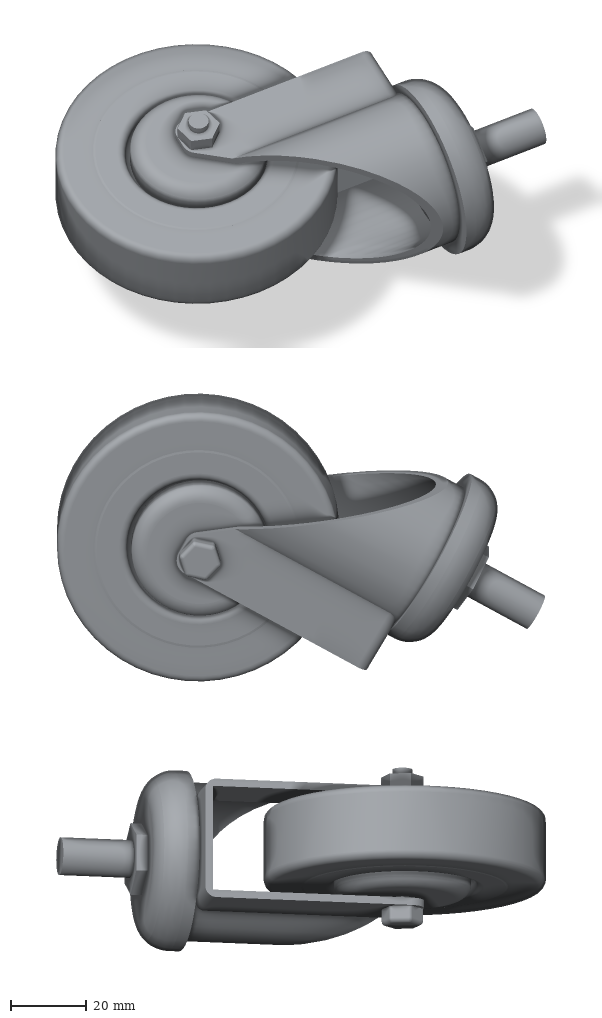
import cadquery as cq
import math


wheel_radius = 37.4
tyre_width = 20.0
edge_round = 2.0
core_radius = 27.5
core_bevel_width = 0.6
core_bevel_height = 0.1
bore_radius = 19.0

hub_radius = 18.2
hub_shoulder_radius = 18.0
hub_shoulder_height = 10.8
hub_crown_radius = 14.1
hub_top_height = 13.1

axle_y = 0.6
bolt_radius = 2.6
bolt_top = 21.9
hex_corner_radius = 5.7
hex_turn = 13.0
nut_height = 3.8
head_height = 4.4
head_end_round = 1.1
head_corner_round = 0.9

swivel_x = 25.0
plate_thickness = 2.0
fork_half_height = 16.1
fork_top_y = 55.0
fork_left_x = -6.0
fork_tip_reach = 5.4
web_end_x = 14.0
skirt_radius = 21.1
slope_top_y = 50.1
slope_angle = 52.4
fork_top_round = 3.0
fork_tip_round = 4.0

cap_x = 26.1
cap_z = 0.4
cap_radius = 24.0
cap_height = 11.0
cap_shoulder_radius = 21.5
cap_shoulder_height = 9.0
cap_crown_radius = 16.6
flange_across_flats = 16.8
flange_height = 3.0
stud_radius = 5.0
stud_top_y = 88.2

tyre_half = tyre_width / 2
core_half = tyre_half + core_bevel_height
recess_floor = core_half - 2 * edge_round
skirt_inner_radius = skirt_radius - plate_thickness
fork_inner_half = fork_half_height - plate_thickness
skirt_right_x = swivel_x + skirt_radius
web_bottom_y = fork_top_y - plate_thickness
fork_bottom_y = axle_y - fork_tip_reach
cap_top_y = fork_top_y + cap_height
flange_top_y = cap_top_y + flange_height


def disc_z(x, y, radius, z_low, z_high):
    """Cylinder along Z between two heights."""
    return cq.Workplane("XY", origin=(x, y, z_low)).circle(radius).extrude(z_high - z_low)


def rod_y(x, z, radius, y_low, y_high):
    """Cylinder along Y between two places."""
    return cq.Workplane("XZ", origin=(x, y_low, z)).circle(radius).extrude(y_low - y_high)


def box_between(x_low, x_high, y_low, y_high, z_half):
    """Box given by its X and Y limits and centred on Z = 0."""
    return (
        cq.Workplane("XY", origin=(0, 0, -z_half))
        .moveTo(x_low, y_low)
        .lineTo(x_high, y_low)
        .lineTo(x_high, y_high)
        .lineTo(x_low, y_high)
        .close()
        .extrude(2 * z_half)
    )


def hex_z(corner_radius, turn, z_low, height):
    """Hexagonal prism on the axle, its corners turned about Z."""
    return (
        cq.Workplane("XY", origin=(0, axle_y, z_low))
        .transformed(rotate=(0, 0, turn))
        .polygon(6, 2 * corner_radius)
        .extrude(height)
    )


def domed_disc(hole_radius, outer_radius, base, shoulder, crown):
    """Disc around Z whose upper rim is rounded by two tangent arcs.

    The upper arc runs from the flat crown (radius, height) to the shoulder (radius, height);
    the lower arc runs on from the shoulder until it is upright at the outer radius.
    """
    crown_radius, top = crown
    shoulder_radius, shoulder_height = shoulder
    width = shoulder_radius - crown_radius
    drop = top - shoulder_height
    upper_radius = (width**2 + drop**2) / (2 * drop)
    shoulder_angle = math.acos(width / upper_radius)
    lower_radius = (outer_radius - shoulder_radius) / (1 - math.cos(shoulder_angle))
    lower_height = shoulder_height - lower_radius * math.sin(shoulder_angle)

    lower_angle = shoulder_angle / 2
    lower_middle = (
        outer_radius - lower_radius * (1 - math.cos(lower_angle)),
        lower_height + lower_radius * math.sin(lower_angle),
    )
    upper_angle = (shoulder_angle + math.pi / 2) / 2
    upper_middle = (
        crown_radius + upper_radius * math.cos(upper_angle),
        top - upper_radius * (1 - math.sin(upper_angle)),
    )
    return (
        cq.Workplane("XZ")
        .moveTo(hole_radius, base)
        .lineTo(outer_radius, base)
        .lineTo(outer_radius, lower_height)
        .threePointArc(lower_middle, shoulder)
        .threePointArc(upper_middle, crown)
        .lineTo(hole_radius, top)
        .close()
        .revolve(360, (0, 0, 0), (0, 1, 0))
    )


def make_tyre():
    """Ring with rounded outer edges."""
    tyre = disc_z(0, 0, wheel_radius, -tyre_half, tyre_half).edges().fillet(edge_round)
    return tyre.cut(disc_z(0, 0, core_radius, -tyre_half, tyre_half))


def make_recess():
    """Space of the upper recess: rounded outward at the wheel face and inward at the floor."""
    middle_height = core_half - edge_round
    return (
        cq.Workplane("XZ")
        .moveTo(0, recess_floor)
        .lineTo(bore_radius - edge_round, recess_floor)
        .radiusArc((bore_radius, middle_height), -edge_round)
        .radiusArc((bore_radius + edge_round, core_half), edge_round)
        .lineTo(0, core_half)
        .close()
        .revolve(360, (0, 0, 0), (0, 1, 0))
    )


def make_core(hub_discs):
    """Wheel core, slightly proud of the tyre, with a round recess for a hub disc in each face."""
    core = (
        disc_z(0, 0, core_radius, -core_half, core_half)
        .faces("<Z or >Z")
        .chamfer(core_bevel_height, core_bevel_width)
    )
    for turn in (0, 180):
        core = core.cut(make_recess().rotate((0, 0, 0), (1, 0, 0), turn))
    core = core.cut(disc_z(0, axle_y, bolt_radius, -core_half, core_half))
    for disc in hub_discs:
        core = core.cut(disc)
    return core


def make_hub_disc(turn):
    """Domed hub disc in a wheel recess; a half turn about the X axis gives the lower one."""
    disc = domed_disc(
        bolt_radius,
        hub_radius,
        recess_floor,
        (hub_shoulder_radius, hub_shoulder_height),
        (hub_crown_radius, hub_top_height),
    )
    return disc.rotate((0, 0, 0), (1, 0, 0), turn).translate((0, axle_y, 0))


def make_bolt():
    """Axle bolt with a rounded hexagonal head under the fork."""
    head = (
        hex_z(hex_corner_radius, hex_turn, -fork_half_height - head_height, head_height)
        .edges("|Z")
        .fillet(head_corner_round)
        .faces("<Z")
        .edges()
        .fillet(head_end_round)
    )
    return head.union(disc_z(0, axle_y, bolt_radius, -fork_half_height, bolt_top))


def make_nut():
    """Hexagonal nut on top of the fork."""
    nut = hex_z(hex_corner_radius, hex_turn, fork_half_height, nut_height)
    return nut.cut(disc_z(0, axle_y, bolt_radius, fork_half_height, fork_half_height + nut_height))


def make_fork():
    """Bent U-shaped fork with a round skirt on its swivel side, cut off along a slope."""
    outer = box_between(fork_left_x, swivel_x, fork_bottom_y, fork_top_y, fork_half_height)
    outer = outer.faces(">Y").edges("|X").fillet(fork_top_round)
    outer = outer.union(rod_y(swivel_x, 0, skirt_radius, fork_bottom_y, fork_top_y))
    channel = box_between(fork_left_x, swivel_x, fork_bottom_y, web_bottom_y, fork_inner_half)
    skirt_bore = rod_y(swivel_x, 0, skirt_inner_radius, fork_bottom_y, fork_top_y)
    web = box_between(fork_left_x, web_end_x, web_bottom_y, fork_top_y, fork_half_height)
    fork = outer.cut(channel).cut(skirt_bore.cut(web))

    slope_run = (slope_top_y - fork_bottom_y) / math.tan(math.radians(slope_angle))
    outline = (
        cq.Workplane("XY", origin=(0, 0, -skirt_radius))
        .moveTo(fork_left_x, fork_top_y)
        .lineTo(fork_left_x, fork_bottom_y)
        .lineTo(skirt_right_x - slope_run, fork_bottom_y)
        .lineTo(skirt_right_x, slope_top_y)
        .lineTo(skirt_right_x, fork_top_y)
        .close()
        .extrude(2 * skirt_radius)
        .faces("<Y")
        .edges("|Z")
        .fillet(fork_tip_round)
    )
    fork = fork.intersect(outline)
    return fork.cut(disc_z(0, axle_y, bolt_radius, -fork_half_height, fork_half_height))


def make_cap():
    """Round swivel cap with its domed face toward +Y."""
    cap = domed_disc(
        0,
        cap_radius,
        0,
        (cap_shoulder_radius, cap_shoulder_height),
        (cap_crown_radius, cap_height),
    )
    return cap.rotate((0, 0, 0), (1, 0, 0), -90).translate((cap_x, fork_top_y, cap_z))


def make_stud():
    """Mounting stud standing on a hexagonal flange, with flats facing -X and +X."""
    flange = (
        cq.Workplane("XZ", origin=(cap_x, cap_top_y, cap_z))
        .transformed(rotate=(0, 0, 90))
        .polygon(6, flange_across_flats / math.cos(math.radians(30)))
        .extrude(-flange_height)
    )
    return flange.union(rod_y(cap_x, cap_z, stud_radius, flange_top_y, stud_top_y))


tyre = make_tyre()
hub_discs = [make_hub_disc(turn) for turn in (0, 180)]
core = make_core(hub_discs)
bolt = make_bolt()
nut = make_nut()
fork = make_fork()
cap = make_cap()
stud = make_stud()

result = cq.Compound.makeCompound(
    [
        tyre.val(),
        core.val(),
        *[disc.val() for disc in hub_discs],
        bolt.val(),
        nut.val(),
        fork.val(),
        cap.val(),
        stud.val(),
    ]
)